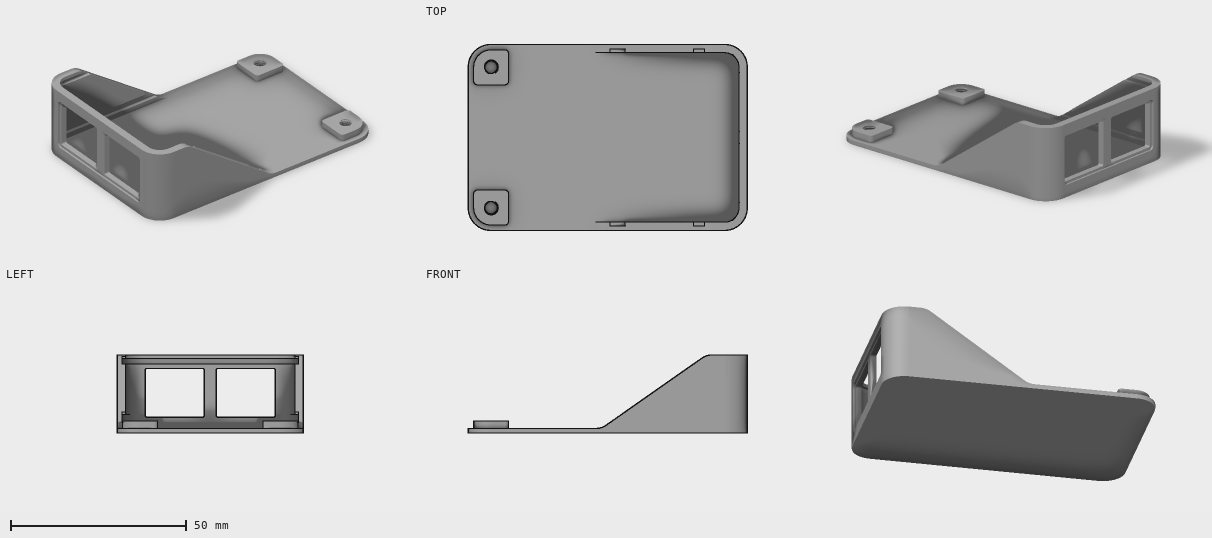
import cadquery as cq
import math

length = 79.5
width = 53.0
height = 22.25
corner_radius = 6.5
wall = 2.4
floor = 1.35

slope_angle = 35.0
slope_start = 38.0
slope_blend = 5.0

groove_inset = 1.35
upper_groove_bottom = 19.6
upper_groove_top = 21.2
upper_entry_end = 67.25
lower_groove_bottom = 3.0
lower_groove_top = 5.3
lower_entry_end = 44.7
lower_groove_end = 76.8

window_bottom = 4.5
window_top = 18.4
window_width = 16.8
window_divider = 3.4
window_radius = 0.5
recess_depth = 0.6
recess_margin = 0.8

boss_inset = 1.6
boss_size = 9.9
boss_height = 2.15
boss_edge_radius = 1.0

hole_diameter = 3.5
hole_depth = 2.7
thread_diameter = 4.1
thread_pitch = 0.7
thread_overlap = 0.1
thread_fill = 0.9


def rounded_plate(x_start, x_end, plate_width, radius, z_bottom, z_top):
    """Plate centred on the X axis with rounded upright edges."""
    return (
        cq.Workplane("XY", origin=((x_start + x_end) / 2, 0, z_bottom))
        .rect(x_end - x_start, plate_width)
        .extrude(z_top - z_bottom)
        .edges("|Z")
        .fillet(radius)
    )


def inset_plate(inset, z_bottom, z_top, x_end):
    """The tray outline shrunk by an inset, ending at x_end."""
    return rounded_plate(inset, x_end, width - 2 * inset, corner_radius - inset, z_bottom, z_top)


def front_clearance():
    """Everything above the floor and in front of the sloping edge."""
    slope_end = slope_start + (height - floor) / math.tan(math.radians(slope_angle))
    above = height + 2 * slope_blend
    clearance = (
        cq.Workplane("XZ")
        .moveTo(-wall, floor)
        .lineTo(slope_start, floor)
        .lineTo(slope_end, height)
        .lineTo(length + wall, height)
        .lineTo(length + wall, above)
        .lineTo(-wall, above)
        .close()
        .extrude(width / 2 + wall, both=True)
    )
    blend_edges = cq.selectors.BoxSelector(
        (slope_start - wall, -width, floor - wall),
        (slope_end + wall, width, height + wall),
    )
    return clearance.edges("|Y").edges(blend_edges).fillet(slope_blend)


def groove(x_end, z_bottom, z_top, entry_end):
    """Groove in the walls, with no roof in front of entry_end, where it enters through the slope."""
    full = inset_plate(groove_inset, z_bottom, z_top, x_end)
    entry = cq.Workplane("XY", origin=(slope_start, 0, z_bottom)).box(
        entry_end - slope_start, width - 2 * groove_inset, height, centered=(False, True, False)
    )
    behind_slope = cq.Workplane("XY", origin=(slope_start, 0, z_bottom)).box(
        length, width, height, centered=(False, True, False)
    )
    return full.union(entry).intersect(behind_slope)


def rear_opening(x_start, centre_y, span, z_bottom, z_top, radius):
    """Rounded rectangular cutter running from x_start out through the rear face."""
    return (
        cq.Workplane("YZ", origin=(x_start, centre_y, (z_bottom + z_top) / 2))
        .rect(span, z_top - z_bottom)
        .extrude(length + wall - x_start)
        .edges("|X")
        .fillet(radius)
    )


def windows():
    """Pair of windows side by side, with a shallow recess around them on the outer face."""
    cutter = rear_opening(
        length - recess_depth,
        0,
        2 * window_width + window_divider + 2 * recess_margin,
        window_bottom - recess_margin,
        window_top + recess_margin,
        window_radius + recess_margin,
    )
    offset = (window_width + window_divider) / 2
    for centre_y in (-offset, offset):
        cutter = cutter.union(
            rear_opening(length - 2 * wall, centre_y, window_width, window_bottom, window_top, window_radius)
        )
    return cutter


def boss():
    """Boss in the +Y front corner, its outer edge concentric with the tray corner."""
    outer_y = width / 2 - boss_inset
    block = cq.Workplane("XY").box(boss_size, boss_size, boss_height, centered=False)
    block = block.translate((boss_inset, outer_y - boss_size, floor))
    outer_edge = ">(-1, 1, 0)"
    block = block.edges(f"|Z and (not {outer_edge})").fillet(boss_edge_radius)
    return block.edges(outer_edge).fillet(corner_radius - boss_inset)


def threaded_hole():
    """Cutter for the blind threaded hole in the +Y boss, with the thread deepest towards +Y at the rim."""
    minor_radius = hole_diameter / 2
    root_x = thread_diameter / 2
    crest_x = minor_radius - thread_overlap
    half_width = thread_pitch * thread_fill / 2
    thread_direction = 90
    turns = math.ceil(hole_depth / thread_pitch)
    cutter_height = hole_depth + thread_pitch
    thread_start = hole_depth - turns * thread_pitch
    path = cq.Wire.makeHelix(thread_pitch, (turns + 1) * thread_pitch, minor_radius)
    thread = (
        cq.Workplane("XZ")
        .polyline([(crest_x, -half_width), (root_x, 0), (crest_x, half_width)])
        .close()
        .sweep(cq.Workplane(obj=path), isFrenet=True)
        .translate((0, 0, thread_start))
        .rotate((0, 0, 0), (0, 0, 1), thread_direction)
    )
    core = cq.Workplane("XY").circle(minor_radius).extrude(cutter_height)
    above_bottom = cq.Workplane("XY").circle(thread_diameter).extrude(cutter_height)
    bottom = floor + boss_height - hole_depth
    cutter = core.union(thread).intersect(above_bottom)
    return cutter.translate((corner_radius, width / 2 - corner_radius, bottom))


def both_sides(shape):
    """A feature together with its mirror image across the XZ plane."""
    return shape.union(shape.mirror("XZ"))


tray = rounded_plate(0, length, width, corner_radius, 0, height)
tray = tray.cut(inset_plate(wall, floor, 2 * height, length - wall))
tray = tray.cut(front_clearance())
tray = tray.cut(groove(length - groove_inset, upper_groove_bottom, upper_groove_top, upper_entry_end))
tray = tray.cut(groove(lower_groove_end, lower_groove_bottom, lower_groove_top, lower_entry_end))
tray = tray.cut(windows())
tray = tray.union(both_sides(boss()))
result = tray.cut(both_sides(threaded_hole()))